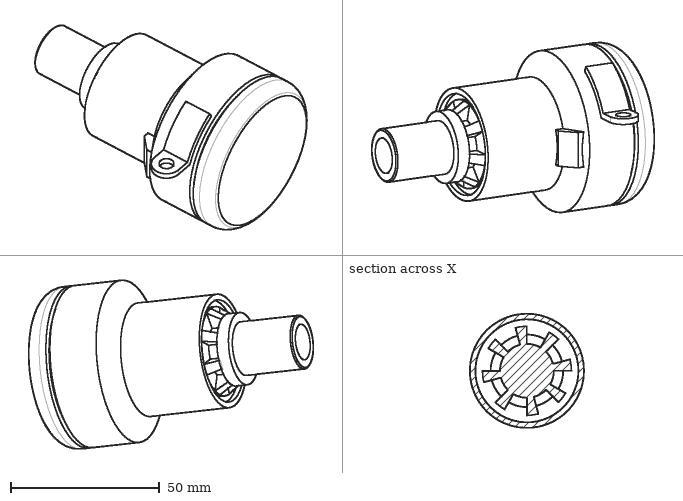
import cadquery as cq
import math

tube_radius = 9.1
tube_chamfer = 0.5
bore_radius = 6.0

collar_start = 21.9
collar_length = 4.3
collar_end = collar_start + collar_length
collar_radius = 12.25

barrel_start = 29.5
barrel_length = 29.15
barrel_end = barrel_start + barrel_length
barrel_radius = 19.25

head_start = 63.9
head_radius = 27.5
total_length = 90.5

groove_start = 81.0
groove_width = 1.5
groove_radius = 25.0

nose_start = 85.1
nose_end = 90.0
nose_radius = 25.0
end_face_radius = 24.0

recess_radius = 17.3
recess_depth = 1.15
recess_floor = barrel_start + recess_depth
ring_groove_depth = 0.8
ring_groove_floor = recess_floor + ring_groove_depth
rib_outer_radius = 15.15
rib_count = 8
rib_angle = 15.0

latch_start = 55.9
latch_width = 12.3
latch_front_reach = 20.2
latch_reach = 25.1
latch_ramp = latch_reach - latch_front_reach

strap_thickness = 2.0
strap_width = 10.2
strap_center_x = 74.45
strap_end_angle = 60.0
lug_bottom = 10.2
lug_tip_reach = 36.86
lug_hole_diameter = 5.0


def make_body():
    nose_depth = nose_end - nose_start
    nose_drop = head_radius - nose_radius
    nose_arc_radius = (nose_depth**2 + nose_drop**2) / (2 * nose_drop)
    half_angle = math.asin(nose_depth / nose_arc_radius) / 2
    nose_middle = (
        nose_start + nose_arc_radius * math.sin(half_angle),
        head_radius - nose_arc_radius * (1 - math.cos(half_angle)),
    )
    groove_end = groove_start + groove_width
    profile = (
        cq.Workplane("XY")
        .moveTo(0, bore_radius)
        .lineTo(0, tube_radius - tube_chamfer)
        .lineTo(tube_chamfer, tube_radius)
        .lineTo(collar_start, tube_radius)
        .lineTo(collar_start, collar_radius)
        .lineTo(collar_end, collar_radius)
        .lineTo(collar_end, tube_radius)
        .lineTo(recess_floor, tube_radius)
        .lineTo(recess_floor, rib_outer_radius)
        .lineTo(ring_groove_floor, rib_outer_radius)
        .lineTo(ring_groove_floor, recess_radius)
        .lineTo(barrel_start, recess_radius)
        .lineTo(barrel_start, barrel_radius)
        .lineTo(barrel_end, barrel_radius)
        .lineTo(head_start, head_radius)
        .lineTo(groove_start, head_radius)
        .lineTo(groove_start, groove_radius)
        .lineTo(groove_end, groove_radius)
        .lineTo(groove_end, head_radius)
        .lineTo(nose_start, head_radius)
        .threePointArc(nose_middle, (nose_end, nose_radius))
        .lineTo(total_length, end_face_radius)
        .lineTo(total_length, 0)
        .lineTo(collar_end, 0)
        .lineTo(collar_end, bore_radius)
        .close()
    )
    return profile.revolve(360, (0, 0, 0), (1, 0, 0))


def make_rib(angle):
    overlap = 0.5
    rib = (
        cq.Workplane("XY")
        .moveTo(collar_end - overlap, tube_radius - overlap)
        .lineTo(collar_end - overlap, collar_radius)
        .lineTo(collar_end, collar_radius)
        .lineTo(recess_floor, rib_outer_radius)
        .lineTo(recess_floor + overlap, rib_outer_radius)
        .lineTo(recess_floor + overlap, tube_radius - overlap)
        .close()
        .revolve(rib_angle, (0, 0, 0), (1, 0, 0))
    )
    return rib.rotate((0, 0, 0), (1, 0, 0), angle)


def make_latch():
    root = barrel_radius / 2
    return (
        cq.Workplane("XY")
        .moveTo(latch_start, -root)
        .lineTo(latch_start, -latch_front_reach)
        .lineTo(latch_start + latch_ramp, -latch_reach)
        .lineTo(head_start, -latch_reach)
        .lineTo(head_start, -root)
        .close()
        .extrude(latch_width / 2, both=True)
    )


def make_strap():
    outer_radius = head_radius + strap_thickness
    root_radius = head_radius - strap_thickness
    start_angle = math.degrees(math.asin(lug_bottom / head_radius))
    band = (
        cq.Workplane("XY")
        .center(strap_center_x, 0)
        .moveTo(0, -(root_radius + outer_radius) / 2)
        .rect(strap_width, outer_radius - root_radius)
        .revolve(strap_end_angle - start_angle, (0, 0, 0), (-1, 0, 0))
        .rotate((0, 0, 0), (1, 0, 0), -start_angle)
    )
    end_radius = strap_width / 2
    end_center_y = end_radius - lug_tip_reach
    lug_root_y = -root_radius * math.cos(math.radians(start_angle))
    lug = (
        cq.Workplane("XY", origin=(strap_center_x, 0, lug_bottom))
        .moveTo(-end_radius, lug_root_y)
        .lineTo(-end_radius, end_center_y)
        .threePointArc((0, -lug_tip_reach), (end_radius, end_center_y))
        .lineTo(end_radius, lug_root_y)
        .close()
        .moveTo(0, end_center_y)
        .circle(lug_hole_diameter / 2)
        .extrude(strap_thickness)
    )
    return band.union(lug)


result = make_body()
for rib_index in range(rib_count):
    result = result.union(make_rib(rib_index * 360 / rib_count))
result = result.union(make_latch()).union(make_strap())